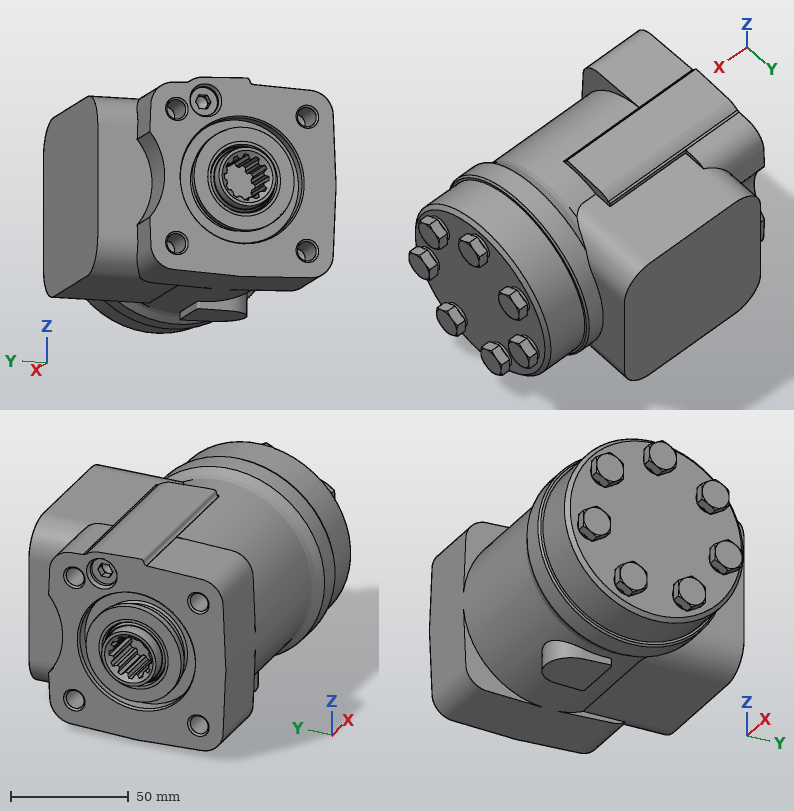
import cadquery as cq
import math


FULL_LENGTH = 139.3
SPIGOT_FACE_X = 4.9
FACE_X = 7.7
BLOCK_END_X = 38.0
PAD_END_X = 81.0
BARREL_END_X = 94.5
SWEEP_END_X = 97.0
COLLAR_X = 100.8
COLLAR_END_X = 111.8
CAP_END_X = 132.9

BARREL_R = 41.8
SWEEP_R = 42.5
COLLAR_R = 90.0 / 2
CAP_R = 86.0 / 2
COLLAR_FRONT_LENGTH = 1.0
COLLAR_FRONT_STEP = 0.1
COLLAR_REAR_CHAMFER = 0.8
CAP_CHAMFER = 1.8

SIDE_BAND = 4.2
SIDE_CORNER = 40.1
BLOCK_CORNER_R = 10.5
HOLE_SPACING = 58.0
HOLE_D = 8.4
HOLE_MOUTH_D = 10.0
HOLE_DEPTH = 16.7
DRILL_TIP_ANGLE = 118.0
RELIEF_R = 29.2
RELIEF_FLOOR_Y = 34.4

PAD_BASE_Z = 27.9
PAD_LEFT_FOOT = (24.8, 40.8)
PAD_LEFT_ARC_START = (23.7, 41.1)
PAD_LEFT_ARC_MIDDLE = (21.3, 42.5)
PAD_SLOPE_START = (18.7, 43.3)
PAD_SLOPE_END = (0.3, 44.1)
PAD_CREST_END = (-2.2, 44.1)
PAD_SHOULDER_MIDDLE = (-3.0, 43.7)
PAD_SHOULDER_END = (-3.5, 42.9)
PAD_HOLLOW_MIDDLE = (-3.9, 42.0)
PAD_RIGHT_FOOT = (-4.7, 41.6)

PORT_X = 25.6
PORT_END_X = 103.0
PORT_Y = 58.5
PORT_HEIGHT = 77.5
PORT_CORNER_R = 14.8

BOSS_X = 77.6
BOSS_R = 12.3
BOSS_ARC_Y = -11.1
BOSS_BACK_Y = 2.0
BOSS_BACK_HALF_WIDTH = 13.1
BOSS_CORNER_R = 1.3

SPIGOT_R = 44.4 / 2
GROOVE_R = 54.0 / 2
GROOVE_MOUTH_STEP = 0.5
GROOVE_MOUTH_DEPTH = 1.4
GROOVE_DEPTH = 6.4
NECK_R = 40.0 / 2
NECK_X = 8.0
NECK_ROOT = 1.0
SEAL_R = 32.3 / 2
SEAL_GROOVE_R = 29.7 / 2
SEAL_END_X = 10.5
SEAL_GROOVE_DEPTH = 2.2
SEAL_GROOVE_FLOOR_R = 14.5
LIP_TIP_R = 13.4
LIP_ROOT_R = 14.0
LIP_SETBACK = 0.4
SHAFT_R = 13.1
SHAFT_TIP_R = 25.3 / 2
SHAFT_TAPER_LENGTH = 2.4
SHAFT_LENGTH = 27.9
MOUTH_R = 11.3
SPLINE_TIP_R = 8.5
SPLINE_ROOT_R = 9.9
SPLINE_SLOT_MOUTH = 3.0
SPLINE_SLOT_FLOOR = 1.7
SPLINE_TEETH = 12
SPLINE_DEPTH = 20.9

VALVE_Y = 16.2
VALVE_Z = 33.4
VALVE_D = 12.5
VALVE_MOUTH_STEP = 0.8
VALVE_MOUTH_DEPTH = 2.0
VALVE_DEPTH = 3.5
HEX_SOCKET_FLATS = 6.0
HEX_SOCKET_DEPTH = 3.5
HEX_SOCKET_TIP_D = 5.8

BOLT_COUNT = 7
BOLT_CIRCLE_R = 32.5
BOLT_FLATS = 13.0
BOLT_NECK_R = 12.0 / 2
BOLT_NECK_LENGTH = 1.5
BOLT_EDGE_SETBACK = 0.4


def yz_plane(x):
    """Plane across the main axis: local x is Y, local y is Z, extrusion runs towards +X."""
    return cq.Workplane("YZ", origin=(x, 0, 0))


def turned(profile):
    """Revolve an (x, radius) outline about the main axis."""
    return cq.Workplane("XY").polyline(profile).close().revolve(360, (0, 0, 0), (1, 0, 0))


def hexagon(x, length, flats, corner_angle):
    """Hexagonal prism along X, with a corner at the given angle from +Y."""
    corner_d = flats / math.cos(math.pi / 6)
    return yz_plane(x).transformed(rotate=(0, 0, corner_angle)).polygon(6, corner_d).extrude(length)


def drill_tip(x, diameter):
    """Conical end of a drilled hole, pointing towards +X."""
    radius = diameter / 2
    return turned([(x, 0), (x, radius), (x + radius / math.tan(math.radians(DRILL_TIP_ANGLE / 2)), 0)])


def turned_body():
    """Barrel, collar and end cap in one turned shape."""
    rear_step = COLLAR_END_X - COLLAR_REAR_CHAMFER
    return turned([
        (FACE_X, 0),
        (FACE_X, BARREL_R),
        (BARREL_END_X, BARREL_R),
        (SWEEP_END_X, SWEEP_R),
        (COLLAR_X, COLLAR_R - COLLAR_FRONT_STEP),
        (COLLAR_X + COLLAR_FRONT_LENGTH, COLLAR_R),
        (rear_step, COLLAR_R),
        (COLLAR_END_X, COLLAR_R - COLLAR_REAR_CHAMFER),
        (COLLAR_END_X, CAP_R),
        (CAP_END_X - CAP_CHAMFER, CAP_R),
        (CAP_END_X, CAP_R - CAP_CHAMFER),
        (CAP_END_X, 0),
    ])


def mounting_block():
    """Square block whose slightly inclined flats run out into the barrel at mid-side."""
    band_edge = math.sqrt(BARREL_R**2 - SIDE_BAND**2)
    corners = [(1, 1), (-1, 1), (-1, -1), (1, -1)]
    outline = yz_plane(FACE_X).moveTo(band_edge, SIDE_BAND)
    for sy, sz in corners:
        outline = outline.lineTo(sy * SIDE_CORNER, sz * SIDE_CORNER)
        if sy == sz:
            outline = outline.lineTo(sy * SIDE_BAND, sz * band_edge)
            outline = outline.threePointArc((0, sz * BARREL_R), (-sy * SIDE_BAND, sz * band_edge))
        else:
            outline = outline.lineTo(sy * band_edge, sz * SIDE_BAND)
            outline = outline.threePointArc((sy * BARREL_R, 0), (sy * band_edge, -sz * SIDE_BAND))
    block = outline.close().extrude(BLOCK_END_X - FACE_X)
    reach = BLOCK_CORNER_R / 4
    for sy, sz in corners:
        middle = ((FACE_X + BLOCK_END_X) / 2, sy * SIDE_CORNER, sz * SIDE_CORNER)
        low = tuple(c - reach for c in middle)
        high = tuple(c + reach for c in middle)
        block = block.edges(cq.selectors.BoxSelector(low, high)).fillet(BLOCK_CORNER_R)
    return block


def side_relief():
    """Round hollow in the +Y side of the block."""
    return yz_plane(FACE_X).center(RELIEF_FLOOR_Y + RELIEF_R, 0).circle(RELIEF_R).extrude(PORT_X - FACE_X)


def raised_pad():
    """Long pad on top, running back from the mounting face."""
    return (
        yz_plane(FACE_X)
        .moveTo(PAD_LEFT_FOOT[0], PAD_BASE_Z)
        .lineTo(*PAD_LEFT_FOOT)
        .lineTo(*PAD_LEFT_ARC_START)
        .threePointArc(PAD_LEFT_ARC_MIDDLE, PAD_SLOPE_START)
        .lineTo(*PAD_SLOPE_END)
        .lineTo(*PAD_CREST_END)
        .threePointArc(PAD_SHOULDER_MIDDLE, PAD_SHOULDER_END)
        .threePointArc(PAD_HOLLOW_MIDDLE, PAD_RIGHT_FOOT)
        .lineTo(PAD_RIGHT_FOOT[0], PAD_BASE_Z)
        .close()
        .extrude(PAD_END_X - FACE_X)
    )


def port_block():
    """Rounded block on the +Y side."""
    length = PORT_END_X - PORT_X
    block = cq.Workplane("XY").box(length, PORT_Y, PORT_HEIGHT, centered=(False, False, True))
    return block.edges("|Y").fillet(PORT_CORNER_R).translate((PORT_X, 0, 0))


def bottom_boss():
    """Low boss with a round nose towards -Y."""
    boss = (
        cq.Workplane("XY", origin=(BOSS_X, 0, -COLLAR_R))
        .moveTo(-BOSS_R, BOSS_ARC_Y)
        .threePointArc((0, BOSS_ARC_Y - BOSS_R), (BOSS_R, BOSS_ARC_Y))
        .lineTo(BOSS_BACK_HALF_WIDTH, BOSS_BACK_Y)
        .lineTo(-BOSS_BACK_HALF_WIDTH, BOSS_BACK_Y)
        .close()
        .extrude(COLLAR_R - PAD_BASE_Z)
    )
    return boss.edges("|Z and >Y").fillet(BOSS_CORNER_R)


def bolt_head(y, z):
    """Round neck and hexagon head whose end corners are turned down to the flats."""
    head_x = CAP_END_X + BOLT_NECK_LENGTH
    corner_r = BOLT_FLATS / 2 / math.cos(math.pi / 6)
    corner_limit = turned([
        (head_x, 0),
        (head_x, corner_r - BOLT_EDGE_SETBACK),
        (head_x + BOLT_EDGE_SETBACK / 2, corner_r),
        (FULL_LENGTH - BOLT_EDGE_SETBACK, corner_r),
        (FULL_LENGTH, BOLT_FLATS / 2),
        (FULL_LENGTH, 0),
    ])
    head = hexagon(head_x, FULL_LENGTH - head_x, BOLT_FLATS, 90).intersect(corner_limit)
    neck = yz_plane(CAP_END_X).circle(BOLT_NECK_R).extrude(BOLT_NECK_LENGTH)
    return head.union(neck).translate((0, y, z))


def mounting_hole(y, z):
    """Blind drilled hole with a chamfered mouth."""
    mouth_step = (HOLE_MOUTH_D - HOLE_D) / 2
    hole_end = FACE_X + HOLE_DEPTH
    bore = turned([
        (FACE_X, 0),
        (FACE_X, HOLE_MOUTH_D / 2),
        (FACE_X + mouth_step, HOLE_D / 2),
        (hole_end, HOLE_D / 2),
        (hole_end, 0),
    ])
    return bore.union(drill_tip(hole_end, HOLE_D)).translate((0, y, z))


def valve_recess():
    """Stepped recess with a hexagon socket in its floor."""
    floor_x = FACE_X + VALVE_DEPTH
    socket_end = floor_x + HEX_SOCKET_DEPTH
    bore = turned([
        (FACE_X, 0),
        (FACE_X, VALVE_D / 2 + VALVE_MOUTH_STEP),
        (FACE_X + VALVE_MOUTH_DEPTH, VALVE_D / 2),
        (floor_x, VALVE_D / 2),
        (floor_x, 0),
    ])
    socket = hexagon(floor_x, HEX_SOCKET_DEPTH, HEX_SOCKET_FLATS, 0)
    recess = bore.union(socket).union(drill_tip(socket_end, HEX_SOCKET_TIP_D))
    return recess.translate((0, VALVE_Y, VALVE_Z))


def spigot_groove():
    """Ring-shaped recess that leaves the spigot standing, undercut behind its rim."""
    floor_x = FACE_X + GROOVE_DEPTH
    return turned([
        (FACE_X, SPIGOT_R),
        (FACE_X, GROOVE_R + GROOVE_MOUTH_STEP),
        (FACE_X + GROOVE_MOUTH_DEPTH, GROOVE_R),
        (floor_x, GROOVE_R),
        (floor_x, NECK_R + NECK_ROOT),
        (floor_x - NECK_ROOT, NECK_R),
        (NECK_X, NECK_R),
        (NECK_X, SPIGOT_R),
    ])


def make_housing():
    """Housing with its spigot, end cap and bolt heads."""
    body = turned_body().union(mounting_block()).union(raised_pad()).cut(side_relief())
    body = body.union(port_block()).union(bottom_boss())

    body = body.cut(spigot_groove())
    body = body.union(yz_plane(SPIGOT_FACE_X).circle(SPIGOT_R).extrude(FACE_X - SPIGOT_FACE_X))
    body = body.cut(yz_plane(SPIGOT_FACE_X).circle(SEAL_R).extrude(SEAL_END_X - SPIGOT_FACE_X))
    body = body.cut(yz_plane(SPIGOT_FACE_X).circle(SHAFT_R).extrude(SHAFT_LENGTH - SPIGOT_FACE_X))

    offset = HOLE_SPACING / 2
    for y in (-offset, offset):
        for z in (-offset, offset):
            body = body.cut(mounting_hole(y, z))
    body = body.cut(valve_recess())

    for i in range(BOLT_COUNT):
        angle = math.pi / 2 + 2 * math.pi * i / BOLT_COUNT
        y = BOLT_CIRCLE_R * math.cos(angle)
        z = BOLT_CIRCLE_R * math.sin(angle)
        body = body.union(bolt_head(y, z))
    return body


def make_seal():
    """Dust seal flush in the spigot, with a lip resting on the shaft."""
    groove_floor_x = SPIGOT_FACE_X + SEAL_GROOVE_DEPTH
    lip_x = SPIGOT_FACE_X + LIP_SETBACK
    return turned([
        (SPIGOT_FACE_X, SEAL_R),
        (SPIGOT_FACE_X, SEAL_GROOVE_R),
        (groove_floor_x, SEAL_GROOVE_FLOOR_R),
        (groove_floor_x, LIP_ROOT_R),
        (lip_x, LIP_TIP_R),
        (lip_x, SHAFT_R),
        (SEAL_END_X, SHAFT_R),
        (SEAL_END_X, SEAL_R),
    ])


def make_shaft():
    """Drive shaft with a splined socket behind an entry cone."""
    shaft = turned([
        (0, 0),
        (0, SHAFT_TIP_R),
        (SHAFT_TAPER_LENGTH, SHAFT_R),
        (SHAFT_LENGTH, SHAFT_R),
        (SHAFT_LENGTH, 0),
    ])
    shaft = shaft.cut(turned([(0, 0), (0, MOUTH_R), (MOUTH_R, 0)]))
    shaft = shaft.cut(yz_plane(0).circle(SPLINE_TIP_R).extrude(SPLINE_DEPTH))
    slot = (
        yz_plane(0)
        .polyline([
            (0, -SPLINE_SLOT_MOUTH / 2),
            (SPLINE_TIP_R, -SPLINE_SLOT_MOUTH / 2),
            (SPLINE_ROOT_R, -SPLINE_SLOT_FLOOR / 2),
            (SPLINE_ROOT_R, SPLINE_SLOT_FLOOR / 2),
            (SPLINE_TIP_R, SPLINE_SLOT_MOUTH / 2),
            (0, SPLINE_SLOT_MOUTH / 2),
        ])
        .close()
        .extrude(SPLINE_DEPTH)
    )
    for i in range(SPLINE_TEETH):
        shaft = shaft.cut(slot.rotate((0, 0, 0), (1, 0, 0), 360 * i / SPLINE_TEETH))
    return shaft


housing = make_housing()
seal = make_seal()
shaft = make_shaft()

result = cq.Compound.makeCompound([housing.solids().val(), seal.solids().val(), shaft.solids().val()])